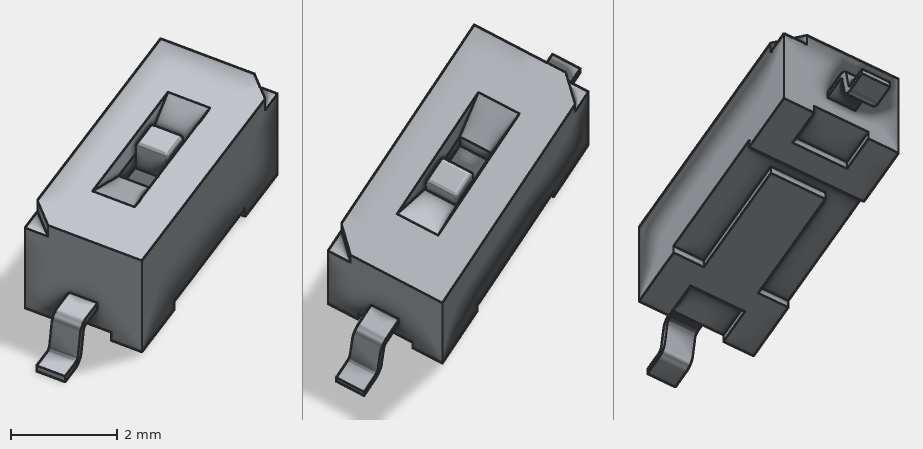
import cadquery as cq
import math


overall_length = 8.0

housing_width = 2.5
housing_length = 5.41
housing_height = 2.42
corner_cut = 0.5
corner_cut_depth = 0.3

mouth_width = 0.9
mouth_length = 3.01
mouth_depth = 0.3
well_width = 0.7
well_length = 1.3
well_depth = 0.35
well_floor_z = housing_height - mouth_depth - well_depth

recess_depth = 0.22
side_recess_length = 2.82
end_recess_width = 1.18
end_recess_depth = 0.8
cross_channel_width = 0.31

lead_width = 0.61
lead_thickness = 0.15
lead_top_z = 0.86
lead_drop = 0.1
lead_straight = 0.46
bend_inner_radius = 0.1
lean_angle = 10.0

slider_length = well_length / 2
slider_top_fillet = 0.1
slider_corner_fillet = 0.05


def block(width, length, height, x=0, y=0, z=0):
    """Box centred on (x, y) with its underside at height z."""
    return cq.Workplane("XY").box(width, length, height, centered=(True, True, False)).translate((x, y, z))


def corner_cuts():
    """Triangular prisms on two diagonally opposite top corners."""
    half_x = housing_width / 2
    half_y = housing_length / 2
    cut = (
        cq.Workplane("XY", origin=(0, 0, housing_height - corner_cut_depth))
        .polyline([(-half_x, -half_y), (-half_x + corner_cut, -half_y), (-half_x, -half_y + corner_cut)])
        .close()
        .extrude(corner_cut_depth)
    )
    return cut.union(cut.rotate((0, 0, 0), (0, 0, 1), 180))


def slider_slot():
    """Tapered mouth at the top face, narrowing to a straight-walled well."""
    mouth = (
        cq.Workplane("XY", origin=(0, 0, housing_height - mouth_depth))
        .rect(well_width, well_length)
        .workplane(offset=mouth_depth)
        .rect(mouth_width, mouth_length)
        .loft(ruled=True)
    )
    return mouth.union(block(well_width, well_length, well_depth, z=well_floor_z))


def underside_recesses():
    """Side and end recesses, with a channel joining the two side recesses near the +Y end."""
    side_recess_width = (housing_width - end_recess_width) / 2
    side_x = (end_recess_width + side_recess_width) / 2
    end_y = (housing_length - end_recess_depth) / 2
    channel_y = (side_recess_length - cross_channel_width) / 2
    recesses = block(housing_width, cross_channel_width, recess_depth, y=channel_y)
    for side in (-1, 1):
        recesses = recesses.union(block(side_recess_width, side_recess_length, recess_depth, x=side * side_x))
        recesses = recesses.union(block(end_recess_width, end_recess_depth, recess_depth, y=side * end_y))
    return recesses


def lead():
    """Gull-wing lead at the +Y end: a rectangular strip swept along a bent centreline."""
    lean = math.radians(lean_angle)
    bend_radius = bend_inner_radius + lead_thickness / 2
    turn = math.pi / 2 - lean
    bend_reach = bend_radius * math.sin(turn)
    bend_fall = bend_radius * (1 - math.cos(turn))
    half_reach = bend_radius * math.sin(turn / 2)
    half_fall = bend_radius * (1 - math.cos(turn / 2))

    start_y = housing_length / 2
    start_z = lead_top_z - lead_thickness / 2
    foot_z = lead_thickness / 2 - lead_drop
    leg_fall = start_z - foot_z - 2 * bend_fall

    upper_y = start_y + lead_straight
    leg_start_y = upper_y + bend_reach
    leg_end_y = leg_start_y + leg_fall * math.tan(lean)
    foot_y = leg_end_y + bend_reach

    centreline = (
        cq.Workplane("YZ")
        .moveTo(start_y, start_z)
        .lineTo(upper_y, start_z)
        .threePointArc((upper_y + half_reach, start_z - half_fall), (leg_start_y, start_z - bend_fall))
        .lineTo(leg_end_y, foot_z + bend_fall)
        .threePointArc((foot_y - half_reach, foot_z + half_fall), (foot_y, foot_z))
        .lineTo(overall_length / 2, foot_z)
    )
    section = cq.Workplane("XZ", origin=(0, start_y, start_z)).rect(lead_width, lead_thickness)
    return section.sweep(centreline)


def make_housing():
    """Housing block with its two leads, as one solid."""
    housing = block(housing_width, housing_length, housing_height)
    housing = housing.cut(corner_cuts()).cut(slider_slot()).cut(underside_recesses())
    for angle in (0, 180):
        housing = housing.union(lead().rotate((0, 0, 0), (0, 0, 1), angle))
    return housing.solids()


def make_slider():
    """Slider filling the +Y half of the well, level with the housing top."""
    slider = block(
        well_width, slider_length, housing_height - well_floor_z, y=slider_length / 2, z=well_floor_z
    )
    return slider.edges("|Z").fillet(slider_corner_fillet).faces(">Z").edges().fillet(slider_top_fillet)


housing = make_housing()
slider = make_slider()

result = cq.Compound.makeCompound([housing.val(), slider.val()])